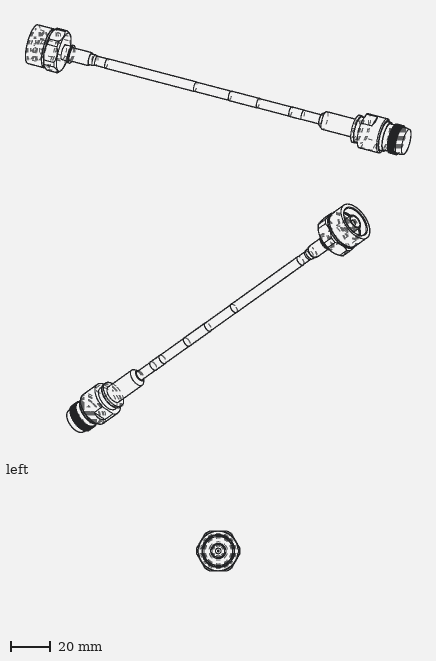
import cadquery as cq
import math


OVERALL_LENGTH = 203.0

NUT_LENGTH = 16.8
NUT_RADIUS = 10.1
HEX_FLATS = 20.3
HEX_CORNER_RADIUS = 11.0
HEX_START = 9.7
HEX_FRONT_CHAMFER = 0.8
HEX_BACK_CHAMFER_LENGTH = 1.0
HEX_BACK_CHAMFER_DEPTH = 1.0
RELIEF_START = 8.7
RELIEF_DEPTH = 0.3
NUT_BORE_RADIUS = 8.0
NUT_BORE_DEPTH = 5.0
NUT_MOUTH_CHAMFER = 0.5
NUT_LEDGE_RADIUS = 7.3
NUT_LEDGE_HEIGHT = 0.6

PLUG_FRONT = 0.2
PLUG_END = 34.5
PLUG_BODY_RADIUS = 3.9
PLUG_SOCKET_RADIUS = 3.2
PLUG_SOCKET_DEPTH = 6.0
COLLAR_START = 20.5
COLLAR_END = 21.1
COLLAR_RADIUS = 4.7
FERRULE_RADIUS = 3.5
FERRULE_END = 31.2
FERRULE_CHAMFER_LENGTH = 1.2
FERRULE_CHAMFER_DEPTH = 0.2
STEP_RADIUS = 2.8
STEP_END = 33.3
PIN_RADIUS = 1.5
PIN_TIP_RADIUS = 0.5
PIN_TIP_LENGTH = 0.8
PIN_RECESS = 0.6

CABLE_RADIUS = 2.5
MARKER_WALL = 0.1
MARKER_SPANS = [(40.0, 88.3), (107.1, 122.4), (140.0, 146.7)]

JACK_START = 156.5
JACK_NOSE_RADIUS = 3.0
JACK_NOSE_LENGTH = 2.0
SLEEVE_RADIUS = 4.7
FLANGE_START = 175.5
FLANGE_END = 177.0
FLANGE_RADIUS = 7.1
NECK_RADIUS = 6.5
BODY_START = 179.8
BODY_END = 191.0
BODY_CHAMFER = 0.6
BODY_RADIUS = 9.0
FLAT_END = 185.7
FLAT_RAMP = 0.8
FLAT_HEIGHT = 8.1
SHOULDER_END = 192.5
SHOULDER_RADIUS = 7.5
TAIL_RADIUS = 7.0
THREAD_START = 195.5
THREAD_LEAD_IN = 1.0
THREAD_ROOT_RADIUS = 7.1
THREAD_HEIGHT = 0.5
THREAD_PITCH = 0.6
THREAD_RINGS = 7
TAIL_TAPER_LENGTH = 1.8
TAIL_TAPER_DEPTH = 0.5


def revolve_x(profile):
    """Turn a closed outline of (x, radius) points about the X axis."""
    return cq.Workplane("XY").polyline(profile).close().revolve(360, (0, 0, 0), (1, 0, 0))


def cylinder_x(start, end, radius):
    return cq.Workplane("YZ", origin=(start, 0, 0)).circle(radius).extrude(end - start)


def make_coupling_nut():
    ring = cylinder_x(0, RELIEF_START, NUT_RADIUS)
    relief = cylinder_x(RELIEF_START, HEX_START, NUT_RADIUS - RELIEF_DEPTH)
    hexagon = (
        cq.Workplane("YZ", origin=(HEX_START, 0, 0))
        .polygon(6, HEX_FLATS / math.cos(math.pi / 6))
        .extrude(NUT_LENGTH - HEX_START)
    )
    turned_envelope = revolve_x([
        (HEX_START, 0),
        (HEX_START, HEX_CORNER_RADIUS - HEX_FRONT_CHAMFER),
        (HEX_START + HEX_FRONT_CHAMFER, HEX_CORNER_RADIUS),
        (NUT_LENGTH - HEX_BACK_CHAMFER_LENGTH, HEX_CORNER_RADIUS),
        (NUT_LENGTH, HEX_CORNER_RADIUS - HEX_BACK_CHAMFER_DEPTH),
        (NUT_LENGTH, 0),
    ])
    outside = ring.union(relief).union(hexagon.intersect(turned_envelope))
    ledge_front = NUT_BORE_DEPTH - NUT_LEDGE_HEIGHT
    bore = revolve_x([
        (0, 0),
        (0, NUT_BORE_RADIUS + NUT_MOUTH_CHAMFER),
        (NUT_MOUTH_CHAMFER, NUT_BORE_RADIUS),
        (ledge_front, NUT_BORE_RADIUS),
        (ledge_front, NUT_LEDGE_RADIUS),
        (NUT_BORE_DEPTH, NUT_LEDGE_RADIUS),
        (NUT_BORE_DEPTH, PLUG_BODY_RADIUS),
        (NUT_LENGTH, PLUG_BODY_RADIUS),
        (NUT_LENGTH, 0),
    ])
    return outside.cut(bore)


def make_male_plug():
    socket_floor = PLUG_FRONT + PLUG_SOCKET_DEPTH
    pin_front = PLUG_FRONT + PIN_RECESS
    return revolve_x([
        (pin_front, 0),
        (pin_front, PIN_TIP_RADIUS),
        (pin_front + PIN_TIP_LENGTH, PIN_RADIUS),
        (socket_floor, PIN_RADIUS),
        (socket_floor, PLUG_SOCKET_RADIUS),
        (PLUG_FRONT, PLUG_SOCKET_RADIUS),
        (PLUG_FRONT, PLUG_BODY_RADIUS),
        (COLLAR_START, PLUG_BODY_RADIUS),
        (COLLAR_START, COLLAR_RADIUS),
        (COLLAR_END, COLLAR_RADIUS),
        (COLLAR_END, FERRULE_RADIUS),
        (FERRULE_END - FERRULE_CHAMFER_LENGTH, FERRULE_RADIUS),
        (FERRULE_END, FERRULE_RADIUS - FERRULE_CHAMFER_DEPTH),
        (FERRULE_END, STEP_RADIUS),
        (STEP_END, STEP_RADIUS),
        (PLUG_END, CABLE_RADIUS),
        (PLUG_END, 0),
    ])


def make_cable():
    return cylinder_x(PLUG_END, JACK_START, CABLE_RADIUS)


def make_marker(start, end):
    """A thin sleeve wrapped around the cable."""
    return cylinder_x(start, end, CABLE_RADIUS + MARKER_WALL).cut(cylinder_x(start, end, CABLE_RADIUS))


def make_spanner_flat_cutter():
    """The stock removed above the upper flat, with a ramp back up to the body's surface."""
    return (
        cq.Workplane("XZ")
        .polyline([
            (BODY_START, FLAT_HEIGHT),
            (FLAT_END, FLAT_HEIGHT),
            (FLAT_END + FLAT_RAMP, BODY_RADIUS),
            (BODY_START, BODY_RADIUS),
        ])
        .close()
        .extrude(BODY_RADIUS, both=True)
    )


def make_female_jack():
    profile = [
        (JACK_START, 0),
        (JACK_START, JACK_NOSE_RADIUS),
        (JACK_START + JACK_NOSE_LENGTH, SLEEVE_RADIUS),
        (FLANGE_START, SLEEVE_RADIUS),
        (FLANGE_START, FLANGE_RADIUS),
        (FLANGE_END, FLANGE_RADIUS),
        (FLANGE_END, NECK_RADIUS),
        (BODY_START, NECK_RADIUS),
        (BODY_START, BODY_RADIUS),
        (BODY_END - BODY_CHAMFER, BODY_RADIUS),
        (BODY_END, BODY_RADIUS - BODY_CHAMFER),
        (BODY_END, SHOULDER_RADIUS),
        (SHOULDER_END, SHOULDER_RADIUS),
        (SHOULDER_END, TAIL_RADIUS),
        (THREAD_START - THREAD_LEAD_IN, TAIL_RADIUS),
    ]
    for ring in range(THREAD_RINGS):
        root = THREAD_START + ring * THREAD_PITCH
        profile += [
            (root, THREAD_ROOT_RADIUS),
            (root + THREAD_PITCH / 2, THREAD_ROOT_RADIUS + THREAD_HEIGHT),
        ]
    profile += [
        (THREAD_START + THREAD_RINGS * THREAD_PITCH, TAIL_RADIUS),
        (OVERALL_LENGTH - TAIL_TAPER_LENGTH, TAIL_RADIUS),
        (OVERALL_LENGTH, TAIL_RADIUS - TAIL_TAPER_DEPTH),
        (OVERALL_LENGTH, 0),
    ]
    upper_cut = make_spanner_flat_cutter()
    lower_cut = upper_cut.mirror("XY")
    return revolve_x(profile).cut(upper_cut).cut(lower_cut)


coupling_nut = make_coupling_nut()
male_plug = make_male_plug()
cable = make_cable()
markers = [make_marker(start, end) for start, end in MARKER_SPANS]
female_jack = make_female_jack()

result = cq.Compound.makeCompound([
    coupling_nut.val(),
    male_plug.val(),
    cable.val(),
    *[marker.val() for marker in markers],
    female_jack.val(),
])